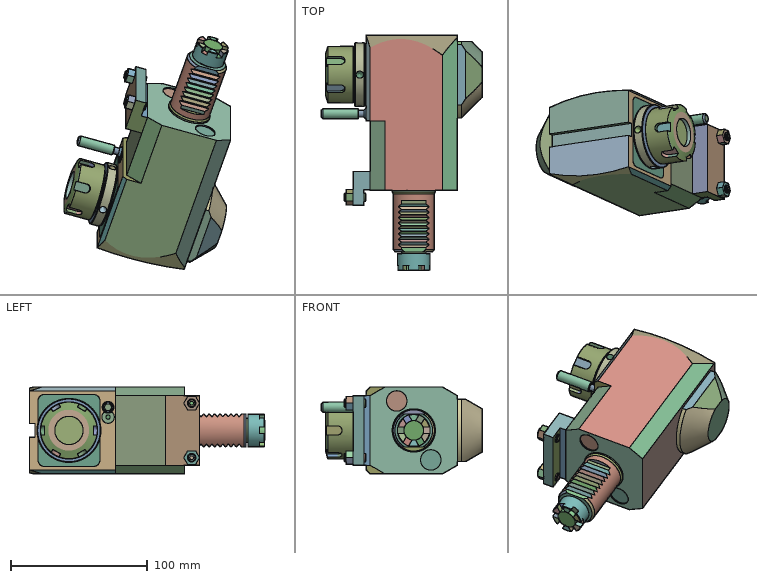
import cadquery as cq
import math


overall_width = 118.33
overall_depth = 173.0

half_height = 32.0
half_width = 32.0
housing_depth = 114.0
edge_chamfer_width = 11.0
edge_chamfer_height = edge_chamfer_width * math.tan(math.radians(30))
head_start_y = 51.0
head_left_x = -35.0
head_chamfer = -head_left_x - half_width
crown_radius = 145.0
crown_center_x = -9.4
crown_peak_z = 31.2
crown_slope = math.radians(15)
key_slot_width = 10.0
key_slot_depth = 4.0
plug_radius = 7.5
plug_circle_radius = 25.0
plug_angle = math.radians(120)
plug_recess = 1.0
cover_width = 45.4
cover_height = 52.8
cover_corner_radius = 4.5
cover_rise = 0.1

collet_y = 85.0
collar_left_x = -43.4
collar_right_x = -35.9
collar_radius = 23.5
collar_chamfer = 0.5
collar_hole_radius = 2.7
collar_hole_depth = 5.0
collar_hole_count = 4
neck_radius = 17.7
collar_foot_radius = 22.5
nut_tip_x = -65.0
nut_shoulder_x = -63.0
nut_right_x = -44.4
nut_radius = 21.0
nut_tip_radius = 15.0
nut_rim_radius = 20.3
nut_chamfer = 0.4
nut_bore_radius = 10.4
nut_bore_depth = 3.0
nut_slot_count = 6
nut_slot_width = 6.6
nut_slot_floor_radius = 18.0
short_slot_length = 12.3
long_slot_length = 14.4

pin_y = 56.3
pin_z = 17.0
pin_radius = 3.75
pin_tip_x = -68.0
pin_tip_chamfer = 1.2
pin_shoulder_x = -40.5
pin_shoulder_chamfer = 0.5
pin_neck_radius = 2.6
pin_flare_x = -36.7
pin_flare_radius = 4.3
screw_z = 9.8
screw_radius = 4.6
screw_recess = 0.3
screw_socket_radius = 1.6
screw_socket_depth = 1.5

boss_radius = 32.0
boss_cone_start_x = 35.0
boss_tip_x = pin_tip_x + overall_width
boss_half_height = 23.0
boss_top_y = 109.5
boss_bevel_start_x = 38.0
boss_bevel_angle = math.radians(30)

bracket_left_x = -44.5
bracket_step_x = -36.6
bracket_top_y = 14.0
bracket_step_y = 0.4
bracket_bottom_y = -11.0
bracket_half_height = half_height - edge_chamfer_height
bolt_y = -5.1
bolt_z = 20.0
bolt_radius = 3.1
bolt_left_x = -51.2
bolt_right_x = -35.0
bolt_chamfer = 0.6
bolt_socket_radius = 1.6
bolt_socket_depth = 1.5
hex_nut_left_x = -49.7
hex_nut_flats = 10.0

shank_radius = 15.15
shank_length = 45.2
shank_chamfer_width = 1.3
shank_chamfer_length = 1.8
flange_radius = 15.9
flange_thickness = 1.2
flange_foot_y = -2.7
shank_flat_z = 12.2
shank_flat_start_y = -7.4
tooth_pitch = 4.0
tooth_count = 8
tooth_first_y = -12.0
tooth_depth = 2.1
tooth_half_width = 1.9
drive_neck_radius = 9.0
drive_start_y = -46.5
drive_end_y = housing_depth - overall_depth
drive_radius = 12.0
drive_chamfer = 0.4
drive_core_radius = 7.2
drive_core_rise = 0.2
drive_slot_pairs = 3
drive_slot_width = 4.8
drive_slot_depth = 3.9

OVERLAP = 1.0


def revolve_about_x(points, center_y):
    """Turn an (x, radius) outline about the parallel of X at height Z = 0."""
    outline = cq.Workplane("XY").polyline(points).close()
    return outline.revolve(360, (0, 0, 0), (1, 0, 0)).translate((0, center_y, 0))


def box_between(x_range, y_range, z_range):
    """Box given by its lower and upper limits on each axis."""
    lower = (x_range[0], y_range[0], z_range[0])
    sizes = [limits[1] - limits[0] for limits in (x_range, y_range, z_range)]
    return cq.Workplane("XY").box(*sizes, centered=False).translate(lower)


def housing_prism(left_x, left_chamfer_width, left_chamfer_height, y_start, y_end):
    """Length of the housing whose left edges carry the given chamfer."""
    left_z = half_height - left_chamfer_height
    right_z = half_height - edge_chamfer_height
    upper = [
        (left_x, left_z),
        (left_x + left_chamfer_width, half_height),
        (half_width - edge_chamfer_width, half_height),
        (half_width, right_z),
    ]
    lower = [(x, -z) for x, z in reversed(upper)]
    profile = cq.Workplane("XZ", origin=(0, y_start, 0)).polyline(upper + lower).close()
    return profile.extrude(y_start - y_end)


def crown_cone(side):
    """Large cone that rounds off the rear of the top (side 1) or bottom (side -1)."""
    front_radius = crown_radius + housing_depth * math.tan(crown_slope)
    outline = [(0, 0), (front_radius, 0), (crown_radius, housing_depth), (0, housing_depth)]
    cone = cq.Workplane("XY").polyline(outline).close().revolve(360, (0, 0, 0), (0, 1, 0))
    return cone.translate((crown_center_x, 0, side * (crown_peak_z - crown_radius)))


def make_housing():
    shank_end = housing_prism(
        -half_width, edge_chamfer_width, edge_chamfer_height, 0, head_start_y
    )
    head = housing_prism(head_left_x, head_chamfer, head_chamfer, head_start_y, housing_depth)
    body = shank_end.union(head)
    for side in (1, -1):
        body = body.intersect(crown_cone(side))
    key_slot = box_between(
        (head_left_x, half_width),
        (housing_depth - key_slot_depth, housing_depth),
        (-key_slot_width / 2, key_slot_width / 2),
    )
    body = body.cut(key_slot)
    plug_x = plug_circle_radius * math.cos(plug_angle)
    plug_z = plug_circle_radius * math.sin(plug_angle)
    plugs = cq.Workplane("XZ").pushPoints([(plug_x, plug_z), (-plug_x, -plug_z)])
    return body.cut(plugs.circle(plug_radius).extrude(-plug_recess))


def make_cover():
    """Thin rounded cover plate around the collet opening."""
    cover = cq.Workplane("YZ", origin=(head_left_x - cover_rise, collet_y, 0))
    cover = cover.rect(cover_width, cover_height).extrude(cover_rise + OVERLAP)
    return cover.edges("|X").fillet(cover_corner_radius)


def make_boss():
    tip_radius = boss_radius - (boss_tip_x - boss_cone_start_x)
    start_x = half_width - OVERLAP
    boss = revolve_about_x(
        [
            (start_x, 0),
            (start_x, boss_radius),
            (boss_cone_start_x, boss_radius),
            (boss_tip_x, tip_radius),
            (boss_tip_x, 0),
        ],
        collet_y,
    )
    bevel_drop = (boss_tip_x - boss_bevel_start_x) * math.tan(boss_bevel_angle)
    upper = [
        (start_x, boss_half_height),
        (boss_bevel_start_x, boss_half_height),
        (boss_tip_x, boss_half_height - bevel_drop),
    ]
    lower = [(x, -z) for x, z in reversed(upper)]
    envelope = cq.Workplane("XZ", origin=(0, boss_top_y, 0)).polyline(upper + lower).close()
    return boss.intersect(envelope.extrude(boss_top_y - collet_y + boss_radius))


def make_collar():
    inner_x = head_left_x + OVERLAP
    collar = revolve_about_x(
        [
            (nut_right_x - OVERLAP, 0),
            (nut_right_x - OVERLAP, neck_radius),
            (collar_left_x, neck_radius),
            (collar_left_x, collar_radius - collar_chamfer),
            (collar_left_x + collar_chamfer, collar_radius),
            (collar_right_x - collar_chamfer, collar_radius),
            (collar_right_x, collar_radius - collar_chamfer),
            (collar_right_x, collar_foot_radius),
            (inner_x, collar_foot_radius),
            (inner_x, 0),
        ],
        collet_y,
    )
    hole_x = (collar_left_x + collar_right_x) / 2
    drill_point = cq.Workplane("XY").add(
        cq.Solid.makeCone(
            0,
            collar_hole_radius,
            collar_hole_depth,
            pnt=cq.Vector(hole_x, collet_y, collar_radius - collar_hole_depth),
        )
    )
    for index in range(collar_hole_count):
        angle = index * 360 / collar_hole_count
        collar = collar.cut(drill_point.rotate((0, collet_y, 0), (1, collet_y, 0), angle))
    return collar


def nut_slot(angle, length):
    """Round-ended wrench slot, turned about the collet axis from the +Y side."""
    end_x = nut_tip_x + length - nut_slot_width / 2
    half_slot = nut_slot_width / 2
    outline = (
        cq.Workplane("XZ", origin=(0, collet_y + nut_slot_floor_radius, 0))
        .moveTo(nut_tip_x, -half_slot)
        .lineTo(end_x, -half_slot)
        .threePointArc((end_x + half_slot, 0), (end_x, half_slot))
        .lineTo(nut_tip_x, half_slot)
        .close()
    )
    slot = outline.extrude(nut_slot_floor_radius - nut_radius - OVERLAP)
    return slot.rotate((0, collet_y, 0), (1, collet_y, 0), angle)


def make_nut():
    nut = revolve_about_x(
        [
            (nut_tip_x, 0),
            (nut_tip_x, nut_tip_radius),
            (nut_shoulder_x - nut_chamfer, nut_rim_radius),
            (nut_shoulder_x, nut_radius),
            (nut_right_x - nut_chamfer, nut_radius),
            (nut_right_x, nut_radius - nut_chamfer),
            (nut_right_x, 0),
        ],
        collet_y,
    )
    bore = cq.Workplane("YZ", origin=(nut_tip_x, collet_y, 0)).circle(nut_bore_radius)
    nut = nut.cut(bore.extrude(nut_bore_depth))
    for index in range(nut_slot_count):
        angle = index * 360 / nut_slot_count
        on_top = 0 < angle < 180
        nut = nut.cut(nut_slot(angle, long_slot_length if on_top else short_slot_length))
    return nut


def make_pin():
    inner_x = head_left_x + OVERLAP
    pin = revolve_about_x(
        [
            (pin_tip_x, 0),
            (pin_tip_x, pin_radius - pin_tip_chamfer),
            (pin_tip_x + pin_tip_chamfer, pin_radius),
            (pin_shoulder_x - pin_shoulder_chamfer, pin_radius),
            (pin_shoulder_x, pin_radius - pin_shoulder_chamfer),
            (pin_shoulder_x, pin_neck_radius),
            (pin_flare_x, pin_neck_radius),
            (head_left_x, pin_flare_radius),
            (inner_x, pin_flare_radius),
            (inner_x, 0),
        ],
        pin_y,
    )
    return pin.translate((0, 0, pin_z))


def screw_pocket():
    """Shallow seat of the screw head together with its central socket."""
    face = cq.Workplane("YZ", origin=(head_left_x, pin_y, screw_z))
    seat = face.circle(screw_radius).extrude(screw_recess)
    return seat.union(face.circle(screw_socket_radius).extrude(screw_socket_depth))


def make_bracket():
    outline = [
        (bracket_left_x, bracket_top_y),
        (-half_width + OVERLAP, bracket_top_y),
        (-half_width + OVERLAP, bracket_step_y),
        (bracket_step_x, bracket_step_y),
        (bracket_step_x, bracket_bottom_y),
        (bracket_left_x, bracket_bottom_y),
    ]
    plate = cq.Workplane("XY", origin=(0, 0, -bracket_half_height)).polyline(outline).close()
    return plate.extrude(2 * bracket_half_height)


def make_bolt(center_z):
    bolt_start = cq.Workplane("YZ", origin=(bolt_left_x, bolt_y, center_z))
    bolt = bolt_start.circle(bolt_radius).extrude(bolt_right_x - bolt_left_x)
    bolt = bolt.faces("<X or >X").chamfer(bolt_chamfer)
    hex_nut = (
        cq.Workplane("YZ", origin=(hex_nut_left_x, bolt_y, center_z))
        .polygon(6, hex_nut_flats / math.cos(math.radians(30)))
        .extrude(bracket_left_x - hex_nut_left_x)
    )
    socket = bolt_start.polygon(6, 2 * bolt_socket_radius).extrude(bolt_socket_depth)
    return bolt.union(hex_nut).cut(socket)


def shank_teeth_cutter():
    """Flat above the shank with the V grooves of the clamping teeth below it."""
    end_y = -shank_length
    cutter = box_between(
        (-flange_radius, flange_radius),
        (end_y, shank_flat_start_y),
        (shank_flat_z, flange_radius),
    )
    groove = (
        cq.Workplane("YZ", origin=(-flange_radius, 0, 0))
        .moveTo(0, shank_flat_z - tooth_depth)
        .lineTo(tooth_half_width, shank_flat_z)
        .lineTo(-tooth_half_width, shank_flat_z)
        .close()
        .extrude(2 * flange_radius)
    )
    for index in range(tooth_count):
        cutter = cutter.union(groove.translate((0, tooth_first_y - index * tooth_pitch, 0)))
    return cutter


def make_shank():
    rim_y = drive_end_y + drive_core_rise
    slot_floor_y = drive_end_y + drive_slot_depth
    outline = [
        (0, OVERLAP),
        (flange_radius, OVERLAP),
        (flange_radius, -flange_thickness),
        (shank_radius, flange_foot_y),
        (shank_radius, shank_chamfer_length - shank_length),
        (shank_radius - shank_chamfer_width, -shank_length),
        (drive_neck_radius, -shank_length),
        (drive_neck_radius, drive_start_y),
        (drive_radius, drive_start_y),
        (drive_radius, rim_y + drive_chamfer),
        (drive_radius - drive_chamfer, rim_y),
        (0, rim_y),
    ]
    shank = cq.Workplane("XY").polyline(outline).close().revolve(360, (0, 0, 0), (0, 1, 0))
    teeth = shank_teeth_cutter()
    shank = shank.cut(teeth).cut(teeth.mirror("XY"))
    slot_pair = box_between(
        (-drive_radius - OVERLAP, drive_radius + OVERLAP),
        (drive_end_y, slot_floor_y),
        (-drive_slot_width / 2, drive_slot_width / 2),
    )
    for index in range(drive_slot_pairs):
        angle = index * 180 / drive_slot_pairs
        shank = shank.cut(slot_pair.rotate((0, 0, 0), (0, 1, 0), angle))
    core = cq.Workplane("XZ", origin=(0, drive_end_y, 0)).circle(drive_core_radius)
    return shank.union(core.extrude(drive_end_y - slot_floor_y - OVERLAP))


result = make_housing().cut(screw_pocket())
pieces = [
    make_cover(),
    make_boss(),
    make_collar(),
    make_nut(),
    make_pin(),
    make_bracket(),
    make_bolt(bolt_z),
    make_bolt(-bolt_z),
    make_shank(),
]
for piece in pieces:
    result = result.union(piece)